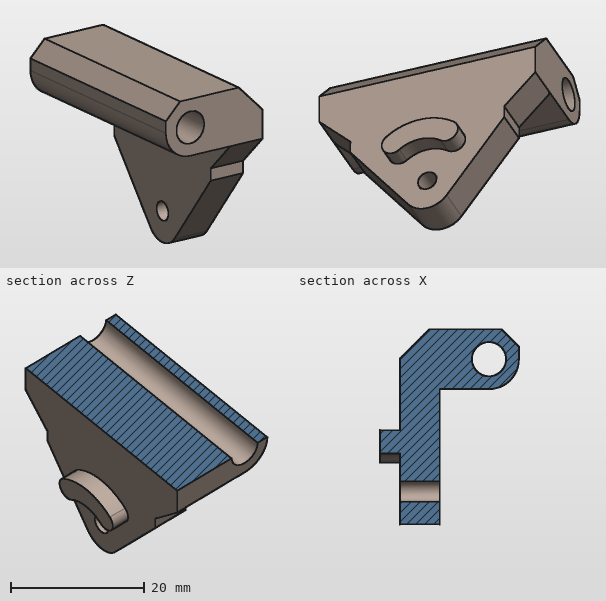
import cadquery as cq
import math

length = 35.0
block_depth = 17.9
barrel_radius = 4.5
block_height = 2 * barrel_radius
bore_diameter = 5.1
front_chamfer = 2.62
back_chamfer = 4.4

plate_thickness = 6.0
total_height = 29.35
shoulder_half_width = 12.45
shoulder_top = -14.0
shoulder_bottom = -15.95
tip_radius = 4.0
pivot_diameter = 3.0
pivot_z = -24.35

rib_height = 3.0
rib_outer_radius = 9.25
rib_width = 3.57
rib_half_angle = 36.0


def make_block():
    """Chamfered block with a rounded lower front edge and a bore along X."""
    arc_offset = barrel_radius * math.sqrt(0.5)
    profile = (
        cq.Workplane("YZ", origin=(-length / 2, 0, 0))
        .moveTo(front_chamfer, 0)
        .lineTo(block_depth - back_chamfer, 0)
        .lineTo(block_depth, -back_chamfer)
        .lineTo(block_depth, -block_height)
        .lineTo(barrel_radius, -block_height)
        .threePointArc(
            (barrel_radius - arc_offset, -barrel_radius - arc_offset),
            (0, -barrel_radius),
        )
        .lineTo(0, -front_chamfer)
        .close()
    )
    bore = (
        cq.Workplane("YZ", origin=(-length / 2, 0, 0))
        .center(barrel_radius, -barrel_radius)
        .circle(bore_diameter / 2)
        .extrude(length)
    )
    return profile.extrude(length).cut(bore)


def make_plate():
    """Tapered plate whose lower flanks run tangent into a round tip."""
    tip_center_z = tip_radius - total_height
    drop = shoulder_bottom - tip_center_z
    corner_distance = math.hypot(shoulder_half_width, drop)
    tangent_angle = math.atan2(drop, shoulder_half_width) - math.acos(tip_radius / corner_distance)
    tangent_x = tip_radius * math.cos(tangent_angle)
    tangent_z = tip_center_z + tip_radius * math.sin(tangent_angle)

    back = cq.Workplane("XZ", origin=(0, block_depth, 0))
    plate = (
        back.moveTo(-length / 2, -block_height)
        .lineTo(length / 2, -block_height)
        .lineTo(shoulder_half_width, shoulder_top)
        .lineTo(shoulder_half_width, shoulder_bottom)
        .lineTo(tangent_x, tangent_z)
        .threePointArc((0, -total_height), (-tangent_x, tangent_z))
        .lineTo(-shoulder_half_width, shoulder_bottom)
        .lineTo(-shoulder_half_width, shoulder_top)
        .close()
        .extrude(plate_thickness)
    )
    pivot_hole = back.center(0, pivot_z).circle(pivot_diameter / 2).extrude(plate_thickness)
    return plate.cut(pivot_hole)


def rib_point(radius, angle):
    """Point around the pivot, with the angle in degrees from straight up."""
    turn = math.radians(angle)
    return (radius * math.sin(turn), pivot_z + radius * math.cos(turn))


def make_rib():
    """Arc-shaped rib with round ends, standing on the back of the plate."""
    inner_radius = rib_outer_radius - rib_width
    middle_radius = rib_outer_radius - rib_width / 2
    tip_angle = rib_half_angle + math.degrees(math.atan2(rib_width / 2, middle_radius))
    tip_distance = math.hypot(middle_radius, rib_width / 2)
    return (
        cq.Workplane("XZ", origin=(0, block_depth, 0))
        .moveTo(*rib_point(rib_outer_radius, -rib_half_angle))
        .threePointArc(rib_point(rib_outer_radius, 0), rib_point(rib_outer_radius, rib_half_angle))
        .threePointArc(rib_point(tip_distance, tip_angle), rib_point(inner_radius, rib_half_angle))
        .threePointArc(rib_point(inner_radius, 0), rib_point(inner_radius, -rib_half_angle))
        .threePointArc(rib_point(tip_distance, -tip_angle), rib_point(rib_outer_radius, -rib_half_angle))
        .close()
        .extrude(-rib_height)
    )


result = make_block().union(make_plate()).union(make_rib())